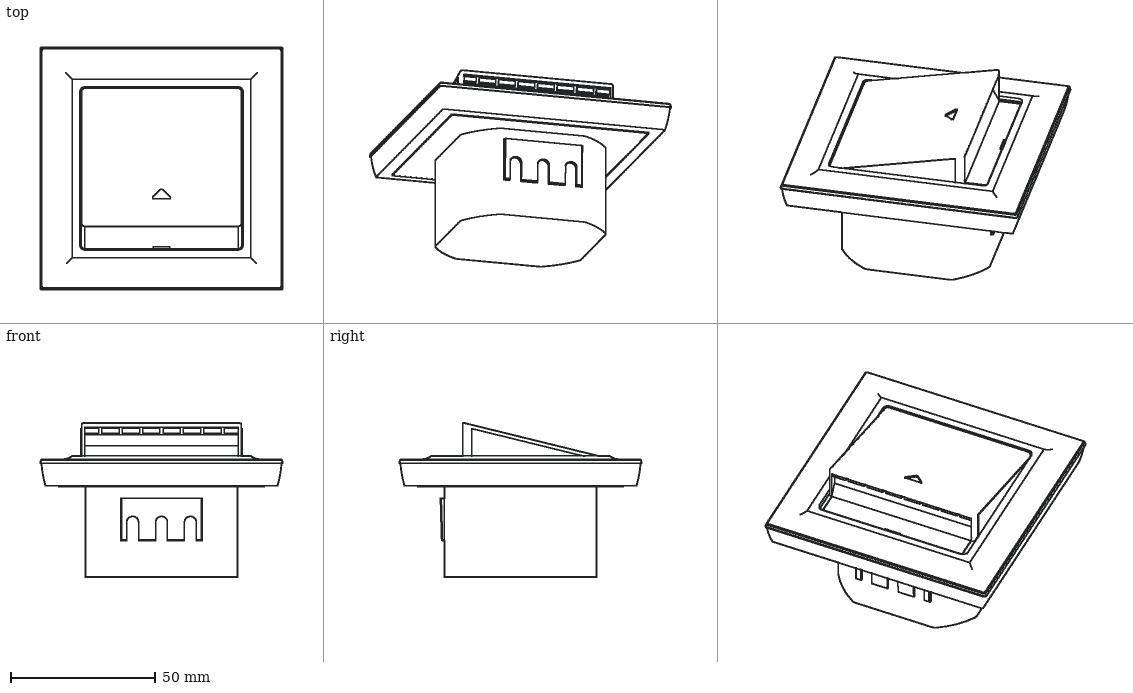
import cadquery as cq
import math


back_slab_z = 31.3
skirt_bottom_z = 31.6
lip_bottom_z = 39.45
bevel_bottom_z = 40.5
frame_top_z = 40.9
well_floor_z = 40.0
seat_top_z = 40.95
tail_top_z = 41.2
ridge_top_z = 42.0
part_top_z = 53.4

lip_half = 42.05
bevel_outer_half = 41.7
bevel_inner_half = 41.4
skirt_top_half = 41.6
skirt_bottom_half = 40.2
skirt_bulge = 0.21
back_slab_half = 35.7
ridge_outer_half = 33.8
ridge_inner_half = 30.95
well_half = 28.25
lip_corner_radius = 0.8
skirt_corner_radius = 0.5
well_corner_radius = 1.85

box_half = 26.3
box_trim_radius = 30.45
box_blend_radius = 2.7

claw_half_width = 14.1
claw_bottom_z = 12.6
claw_top_z = 27.25
claw_top_thickness = 1.4
claw_bottom_thickness = 1.0
claw_edge_chamfer = 0.3
claw_slot_width = 4.1
claw_slot_pitch = 10.0
claw_slot_top_z = 21.0

rocker_half_width = 27.7
seat_half = 27.8
rocker_back_y = seat_half
rocker_front_y = -20.0
rocker_tilt = 13.8
rocker_edge_radius = 0.4
rocker_front_radius = 1.0
rocker_back_radius = 1.3

panel_height = 0.25
panel_front_y = -16.9
panel_drop = 1.35

recess_half_width = 26.5
recess_wall_y = -17.8
recess_top_z = 51.8
gusset_top_y = -18.8
gusset_bottom_z = 49.3
tooth_front_y = -19.0
tooth_bottom_z = 49.8
tooth_top_z = 51.5
tooth_count = 8
tooth_pitch = 7.1
tooth_gap = 1.1

sill_top_z = 45.5
sill_front_y = -20.2
tail_front_y = -seat_half
notch_width = 5.7
notch_back_y = -27.2
notch_depth = 0.7

arrow_half_width = 3.1
arrow_base_y = -10.5
arrow_shoulder_y = -9.9
arrow_tip_y = -7.15
arrow_tip_half = 0.3
arrow_depth = 0.7


def square_prism(half, bottom, top):
    return cq.Workplane("XY").workplane(offset=bottom).rect(2 * half, 2 * half).extrude(top - bottom)


def block(x_range, y_range, z_range):
    size = [high - low for low, high in (x_range, y_range, z_range)]
    return cq.Workplane("XY").box(*size, centered=False).translate((x_range[0], y_range[0], z_range[0]))


def extrude_across(profile, half_width):
    """Extrude a closed YZ outline symmetrically along X."""
    return profile.extrude(half_width, both=True)


def mitred_square(profile, half_width):
    """Square solid with the same profile on all four sides, meeting in mitred corners."""
    along_x = extrude_across(profile, half_width)
    along_y = along_x.rotate((0, 0, 0), (0, 0, 1), 90)
    return along_x.intersect(along_y)


def make_skirt():
    mid_half = (skirt_top_half + skirt_bottom_half) / 2 + skirt_bulge
    mid_z = (skirt_bottom_z + lip_bottom_z) / 2
    profile = (
        cq.Workplane("YZ")
        .moveTo(-skirt_bottom_half, skirt_bottom_z)
        .lineTo(skirt_bottom_half, skirt_bottom_z)
        .threePointArc((mid_half, mid_z), (skirt_top_half, lip_bottom_z))
        .lineTo(-skirt_top_half, lip_bottom_z)
        .threePointArc((-mid_half, mid_z), (-skirt_bottom_half, skirt_bottom_z))
        .close()
    )
    skirt = mitred_square(profile, lip_half)
    return skirt.edges("not (#Z or |X or |Y)").fillet(skirt_corner_radius)


def make_lip():
    """Thin rim of the frame: steep side below, flat bevel above."""

    def tapered_layer(half, next_half, bottom, top):
        height = top - bottom
        taper = math.degrees(math.atan((half - next_half) / height))
        outline = cq.Sketch().rect(2 * half, 2 * half).vertices().fillet(lip_corner_radius)
        return cq.Workplane("XY").workplane(offset=bottom).placeSketch(outline).extrude(height, taper=taper)

    side = tapered_layer(lip_half, bevel_outer_half, lip_bottom_z, bevel_bottom_z)
    bevel = tapered_layer(bevel_outer_half, bevel_inner_half, bevel_bottom_z, frame_top_z)
    return side.union(bevel)


def make_ridge():
    """Raised border that sweeps up from the frame in a concave cove."""
    run = ridge_outer_half - ridge_inner_half
    rise = ridge_top_z - frame_top_z
    cove_radius = (run**2 + rise**2) / (2 * rise)
    profile = (
        cq.Workplane("YZ")
        .moveTo(-ridge_outer_half, frame_top_z)
        .radiusArc((-ridge_inner_half, ridge_top_z), -cove_radius)
        .lineTo(ridge_inner_half, ridge_top_z)
        .radiusArc((ridge_outer_half, frame_top_z), -cove_radius)
        .lineTo(ridge_outer_half, bevel_bottom_z)
        .lineTo(-ridge_outer_half, bevel_bottom_z)
        .close()
    )
    return mitred_square(profile, lip_half)


def make_frame():
    well = square_prism(well_half, well_floor_z, part_top_z).edges("|Z").fillet(well_corner_radius)
    back_slab = square_prism(back_slab_half, back_slab_z, skirt_bottom_z)
    return make_skirt().union(make_lip()).union(make_ridge()).union(back_slab).cut(well)


def make_wall_box():
    trim = cq.Workplane("XY").circle(box_trim_radius).extrude(back_slab_z)
    box = square_prism(box_half, 0, back_slab_z).intersect(trim)
    return box.edges("|Z").fillet(box_blend_radius)


def make_claw():
    """Tapering clamp plate with three open slots."""
    wall_y = -box_half
    side = (
        cq.Workplane("YZ")
        .moveTo(wall_y, claw_bottom_z)
        .lineTo(wall_y - claw_bottom_thickness, claw_bottom_z)
        .lineTo(wall_y - claw_top_thickness, claw_top_z)
        .lineTo(wall_y, claw_top_z)
        .close()
    )
    claw = extrude_across(side, claw_half_width)
    claw = claw.faces("<Y").edges("not >Z").chamfer(claw_edge_chamfer)
    slot_radius = claw_slot_width / 2
    arch_z = claw_slot_top_z - slot_radius
    for x in (-claw_slot_pitch, 0, claw_slot_pitch):
        slot = (
            cq.Workplane("XZ", origin=(x, wall_y, 0))
            .moveTo(-slot_radius, claw_bottom_z)
            .lineTo(-slot_radius, arch_z)
            .threePointArc((0, claw_slot_top_z), (slot_radius, arch_z))
            .lineTo(slot_radius, claw_bottom_z)
            .close()
            .extrude(claw_top_thickness)
        )
        claw = claw.cut(slot)
    return claw


def rocker_top_z(y):
    """Height of the tilted rocker face at a given Y, set so its rounded front edge peaks at part_top_z."""
    tilt = math.radians(rocker_tilt)
    rounding_loss = rocker_edge_radius * (math.tan(tilt) + 1 / math.cos(tilt) - 1)
    return part_top_z + rounding_loss - (y - rocker_front_y) * math.tan(tilt)


def wedge(front_y, back_y, drop, half_width):
    """Solid below the tilted face, lowered by drop, down to the floor of the well."""
    profile = cq.Workplane("YZ").polyline(
        [
            (front_y, well_floor_z),
            (back_y, well_floor_z),
            (back_y, rocker_top_z(back_y) - drop),
            (front_y, rocker_top_z(front_y) - drop),
        ]
    ).close()
    return extrude_across(profile, half_width)


def make_rocker_body():
    body = wedge(rocker_front_y, rocker_back_y, 0, rocker_half_width)
    body = body.edges("|Z and <Y").fillet(rocker_front_radius)
    body = body.edges("|Z and >Y").fillet(rocker_back_radius)
    body = body.faces(">Z").edges().fillet(rocker_edge_radius)
    panel_back_y = rocker_back_y - 2 * rocker_back_radius
    panels = wedge(panel_front_y, panel_back_y, panel_drop, rocker_half_width + panel_height)
    return body.union(panels)


def make_recess():
    """Cutter for the hollow under the lip, above the sloping sill and between the cheeks."""
    profile = cq.Workplane("YZ").polyline(
        [
            (rocker_front_y - rocker_front_radius, well_floor_z),
            (sill_front_y, well_floor_z),
            (recess_wall_y, sill_top_z),
            (recess_wall_y, gusset_bottom_z),
            (gusset_top_y, recess_top_z),
            (rocker_front_y - rocker_front_radius, recess_top_z),
        ]
    ).close()
    return extrude_across(profile, recess_half_width)


def make_teeth():
    """Row of blocks under the rocker lip, separated by narrow gaps."""
    y_range = (tooth_front_y, recess_wall_y)
    z_range = (tooth_bottom_z, tooth_top_z)
    row = block((-recess_half_width, recess_half_width), y_range, z_range)
    for index in range(1, tooth_count):
        x = (index - tooth_count / 2) * tooth_pitch
        gap = block((x - tooth_gap / 2, x + tooth_gap / 2), y_range, z_range)
        row = row.cut(gap)
    return row


def make_seat():
    """Rounded base of the rocker, separated from the well wall by a narrow gap."""
    return square_prism(seat_half, well_floor_z, seat_top_z).edges("|Z").fillet(rocker_back_radius)


def make_sill():
    """Slope below the recess and the flat tail in front of it, notched at the front edge."""
    profile = cq.Workplane("YZ").polyline(
        [
            (recess_wall_y, well_floor_z),
            (recess_wall_y, sill_top_z),
            (sill_front_y, tail_top_z),
            (tail_front_y, tail_top_z),
            (tail_front_y, well_floor_z),
        ]
    ).close()
    return extrude_across(profile, recess_half_width)


def make_notch():
    notch_half = notch_width / 2
    z_range = (tail_top_z - notch_depth, tail_top_z)
    return block((-notch_half, notch_half), (tail_front_y, notch_back_y), z_range)


def make_arrow():
    """Upright cutter for the arrow, with its floor parallel to the tilted rocker face."""
    outline = [
        (-arrow_half_width, arrow_base_y),
        (arrow_half_width, arrow_base_y),
        (arrow_half_width, arrow_shoulder_y),
        (arrow_tip_half, arrow_tip_y),
        (-arrow_tip_half, arrow_tip_y),
        (-arrow_half_width, arrow_shoulder_y),
    ]
    prism = cq.Workplane("XY").workplane(offset=well_floor_z).polyline(outline).close().extrude(part_top_z)
    return prism.cut(wedge(rocker_front_y, rocker_back_y, arrow_depth, rocker_half_width))


rocker = make_rocker_body().cut(make_recess()).union(make_teeth())
rocker = rocker.union(make_seat()).union(make_sill()).cut(make_arrow()).cut(make_notch())
result = make_frame().union(make_wall_box()).union(make_claw()).union(rocker)